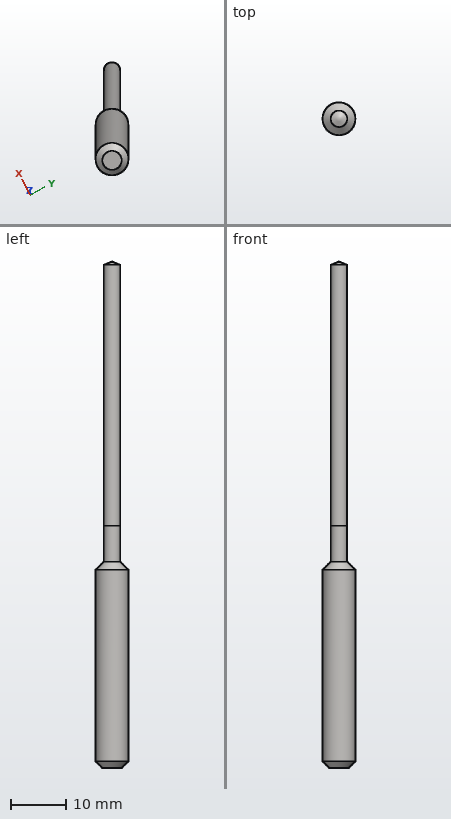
import cadquery as cq
import math

shank_diameter = 6.0
cutter_diameter = 3.0
overall_length = 92.0
shank_length = 36.0
bottom_chamfer = 1.25
neck_end = 44.0
point_angle = 135.0

shank_radius = shank_diameter / 2
cutter_radius = cutter_diameter / 2
shoulder_height = shank_radius - cutter_radius
shoulder_top = shank_length + shoulder_height
tip_height = cutter_radius / math.tan(math.radians(point_angle / 2))
tip_start = overall_length - tip_height


def revolve_profile(points):
    """Revolve a closed (radius, height) outline about the Z axis."""
    return cq.Workplane("XZ").polyline(points).close().revolve(360, (0, 0, 0), (0, 1, 0))


holder = revolve_profile([
    (0, 0),
    (shank_radius - bottom_chamfer, 0),
    (shank_radius, bottom_chamfer),
    (shank_radius, shank_length),
    (cutter_radius, shoulder_top),
    (cutter_radius, neck_end),
    (0, neck_end),
])

cutter = revolve_profile([
    (0, neck_end),
    (cutter_radius, neck_end),
    (cutter_radius, tip_start),
    (0, overall_length),
])

result = cq.Compound.makeCompound([holder.val(), cutter.val()])